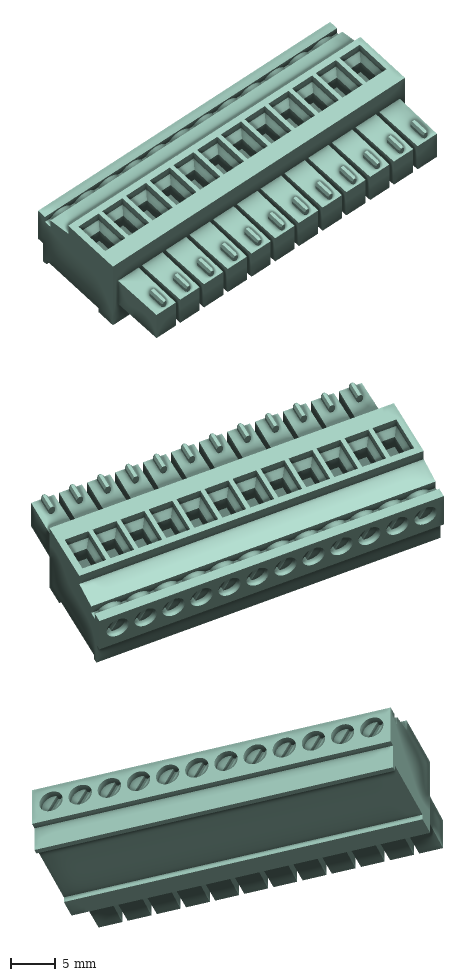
import cadquery as cq

width = 43.1
height = 10.4
overall_depth = 19.8
pole_count = 12
end_margin = 2.3
pitch = (width - 2 * end_margin) / (pole_count - 1)
first_pole_y = end_margin - width / 2
pole_positions = [first_pole_y + i * pitch for i in range(pole_count)]

body_back_x = 13.15
lip_back_x = 1.2
groove_back_x = 2.15
ridge_front_x = 5.3
lower_front_x = 0.8
front_foot_back_x = 1.45
rear_foot_front_x = 10.6
overhang_z = 3.2
foot_height = 0.7
groove_floor_z = 7.3
lip_top_z = 8.15
slope_front_z = 8.4
slope_back_z = 8.95

screw_z = 5.85
screw_hole_diameter = 2.8
screw_recess = 0.85
slot_width = 0.7
slot_depth = 0.5
slot_tilt = 30.0
collar_diameter = 4.1

entry_center_x = 8.5
mouth_length = 4.7
mouth_width = 2.97
mouth_depth = 1.1
shaft_length = 2.9
shaft_width = 1.72
funnel_depth = 0.65
shaft_depth = 1.72

finger_bottom_z = overhang_z
finger_top_z = groove_floor_z
finger_root_width = 3.0
finger_tip_width = 2.85
tab_front_x = 17.35
tab_straight_length = 1.95
tab_tip_length = 0.25
tab_tip_taper = 27.0
tab_width = 0.8
tab_height = 1.15
tab_bevel_across = 0.2
tab_bevel_tall = 0.35


def make_housing():
    """Stepped profile extruded over the full width of the connector."""
    outline = [
        (0, overhang_z),
        (0, lip_top_z),
        (lip_back_x, lip_top_z),
        (lip_back_x, groove_floor_z),
        (groove_back_x, groove_floor_z),
        (groove_back_x, slope_front_z),
        (ridge_front_x, slope_back_z),
        (ridge_front_x, height),
        (body_back_x, height),
        (body_back_x, 0),
        (rear_foot_front_x, 0),
        (rear_foot_front_x, foot_height),
        (front_foot_back_x, foot_height),
        (front_foot_back_x, 0),
        (lower_front_x, 0),
        (lower_front_x, overhang_z),
    ]
    return cq.Workplane("XZ").polyline(outline).close().extrude(width / 2, both=True)


def make_collar(y):
    """Round collar around the screw axis, bridging the groove."""
    return (
        cq.Workplane("YZ", origin=(lip_back_x, y, screw_z))
        .circle(collar_diameter / 2)
        .extrude(groove_back_x - lip_back_x)
    )


def make_screw_cut(y):
    """Round recess down to the screw head, plus the tilted driver slot in the head."""
    face = cq.Workplane("YZ", origin=(0, y, screw_z))
    recess = face.circle(screw_hole_diameter / 2).extrude(screw_recess)
    full_depth = screw_recess + slot_depth
    bore = face.circle(screw_hole_diameter / 2).extrude(full_depth)
    slot = (
        face.transformed(rotate=(0, 0, slot_tilt))
        .rect(slot_width, screw_hole_diameter * 2)
        .extrude(full_depth)
        .intersect(bore)
    )
    return recess.union(slot)


def make_entry_cut(y):
    """Rectangular wire entry that narrows through a funnel to a blind shaft."""
    funnel_top_z = height - mouth_depth
    mouth = (
        cq.Workplane("XY", origin=(entry_center_x, y, funnel_top_z))
        .rect(mouth_length, mouth_width)
        .extrude(mouth_depth)
    )
    funnel = (
        cq.Workplane("XY", origin=(entry_center_x, y, funnel_top_z))
        .rect(mouth_length, mouth_width)
        .workplane(offset=-funnel_depth)
        .rect(shaft_length, shaft_width)
        .loft(ruled=True)
    )
    shaft = (
        cq.Workplane("XY", origin=(entry_center_x, y, funnel_top_z - funnel_depth))
        .rect(shaft_length, shaft_width)
        .extrude(-shaft_depth)
    )
    return mouth.union(funnel).union(shaft)


def make_finger(y):
    """Slightly tapered plug finger."""
    root = finger_root_width / 2
    tip = finger_tip_width / 2
    outline = [
        (body_back_x, y - root),
        (overall_depth, y - tip),
        (overall_depth, y + tip),
        (body_back_x, y + root),
    ]
    return (
        cq.Workplane("XY", origin=(0, 0, finger_bottom_z))
        .polyline(outline)
        .close()
        .extrude(finger_top_z - finger_bottom_z)
    )


def make_tab(y):
    """Eight-sided coding tab lying on the finger, with a tapered rear tip."""
    side = tab_width / 2
    top = tab_height / 2
    inner_side = side - tab_bevel_across
    inner_top = top - tab_bevel_tall
    section = [
        (side, -inner_top),
        (side, inner_top),
        (inner_side, top),
        (-inner_side, top),
        (-side, inner_top),
        (-side, -inner_top),
        (-inner_side, -top),
        (inner_side, -top),
    ]
    start = cq.Workplane("YZ", origin=(tab_front_x, y, finger_top_z + top))
    straight = start.polyline(section).close().extrude(tab_straight_length)
    tip = (
        start.workplane(offset=tab_straight_length)
        .polyline(section)
        .close()
        .extrude(tab_tip_length, taper=tab_tip_taper)
    )
    return straight.union(tip)


result = make_housing()
for pole_y in pole_positions:
    result = result.union(make_collar(pole_y))
    result = result.union(make_finger(pole_y))
    result = result.union(make_tab(pole_y))
    result = result.cut(make_screw_cut(pole_y))
    result = result.cut(make_entry_cut(pole_y))